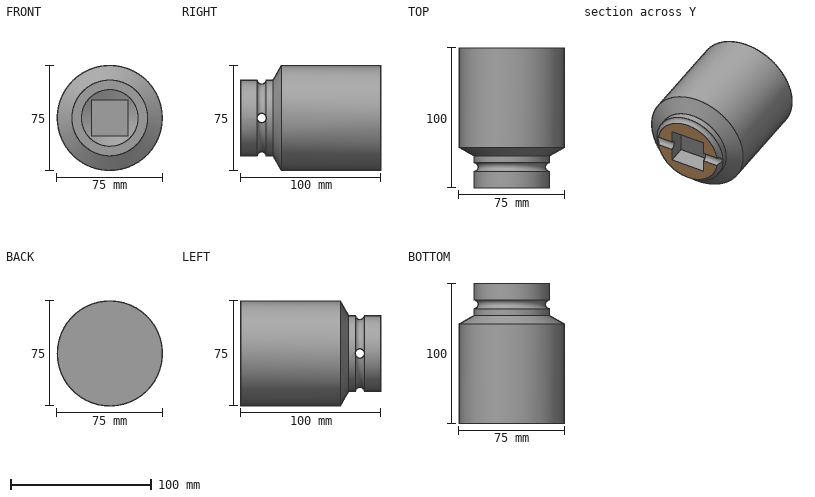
import cadquery as cq
import math

length = 100.0
body_radius = 75.0 / 2
neck_radius = 54.0 / 2
neck_length = 23.0
shoulder_end = 29.0

pin_position = 15.0
pin_diameter = 6.5
groove_radius = pin_diameter / 2
groove_center_radius = 27.5

square_side = 25.7
square_depth = 28.0
lead_in_radius = 40.4 / 2
lead_in_angle = 20.0


def make_body():
    """Revolve the stepped outside shape about the Y axis."""
    return (
        cq.Workplane("XY")
        .polyline([
            (0, 0),
            (neck_radius, 0),
            (neck_radius, neck_length),
            (body_radius, shoulder_end),
            (body_radius, length),
            (0, length),
        ])
        .close()
        .revolve(360, (0, 0), (0, 1))
    )


def make_groove():
    """Ring of circular section around the neck."""
    return (
        cq.Workplane("XY")
        .center(groove_center_radius, pin_position)
        .circle(groove_radius)
        .revolve(360, (-groove_center_radius, 0), (-groove_center_radius, 1))
    )


def make_pin_hole():
    """Cylinder crossing the whole neck along X."""
    return (
        cq.Workplane("YZ")
        .center(pin_position, 0)
        .circle(pin_diameter / 2)
        .extrude(body_radius, both=True)
    )


def make_square_drive():
    """Blind square recess running inward from the drive end."""
    return cq.Workplane("XY").box(
        square_side, square_depth, square_side, centered=(True, False, True)
    )


def make_lead_in():
    """Full cone that opens the mouth of the square."""
    cone_depth = lead_in_radius * math.tan(math.radians(lead_in_angle))
    return (
        cq.Workplane("XY")
        .polyline([(0, 0), (lead_in_radius, 0), (0, cone_depth)])
        .close()
        .revolve(360, (0, 0), (0, 1))
    )


result = (
    make_body()
    .cut(make_groove())
    .cut(make_pin_hole())
    .cut(make_square_drive())
    .cut(make_lead_in())
)